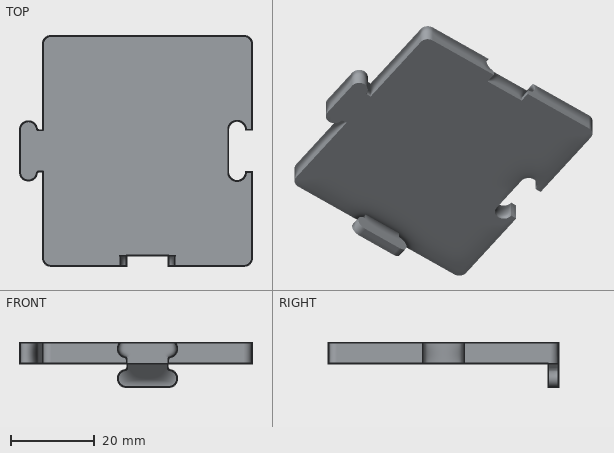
import cadquery as cq
import math

plate_width = 50.0
plate_length = 55.0
plate_thickness = 5.0
corner_radius = 2.0

lobe_spacing = 10.1
lip_depth = 2.5
blend_radius = 0.5

side_tab_reach = 5.5
side_tab_lobe = 2.05
side_tab_neck = 9.9

side_socket_depth = 5.7
side_socket_lobe = 2.1
side_socket_neck = 10.0

lower_tab_reach = 5.6
lower_lobe = 2.05
lower_tab_neck = 9.75
lower_socket_neck = 10.0


def connector(plane, reach, lobe_radius, neck_width, blend, depth):
    """Extrude a jigsaw key: local X runs along the edge, local Y along its reach."""
    lobe_x = lobe_spacing / 2
    lobe_y = reach - lobe_radius
    neck_x = neck_width / 2

    blend_x = neck_x + blend
    blend_y = lobe_y - math.sqrt((lobe_radius + blend) ** 2 - (blend_x - lobe_x) ** 2)
    touch_share = lobe_radius / (lobe_radius + blend)
    touch_x = lobe_x + (blend_x - lobe_x) * touch_share
    touch_y = lobe_y + (blend_y - lobe_y) * touch_share
    blend_angle = math.atan2(touch_y - blend_y, touch_x - blend_x)
    middle_angle = (math.pi + blend_angle) / 2
    middle_x = blend_x + blend * math.cos(middle_angle)
    middle_y = blend_y + blend * math.sin(middle_angle)

    outline = cq.Workplane(plane).moveTo(-neck_x, 0).lineTo(neck_x, 0).lineTo(neck_x, blend_y)
    if blend > 0:
        outline = outline.threePointArc((middle_x, middle_y), (touch_x, touch_y))
    outline = outline.threePointArc((lobe_x + lobe_radius, lobe_y), (lobe_x, reach))
    outline = outline.lineTo(-lobe_x, reach)
    outline = outline.threePointArc((-lobe_x - lobe_radius, lobe_y), (-touch_x, touch_y))
    if blend > 0:
        outline = outline.threePointArc((-middle_x, middle_y), (-neck_x, blend_y))
    return outline.close().extrude(depth)


plate = cq.Workplane("XY").box(plate_width, plate_length, plate_thickness, centered=(True, True, False))
plate = plate.edges("|Z").fillet(corner_radius)

left_edge = cq.Plane(origin=(-plate_width / 2, 0, 0), xDir=(0, 1, 0), normal=(0, 0, 1))
right_edge = cq.Plane(origin=(plate_width / 2, 0, 0), xDir=(0, 1, 0), normal=(0, 0, 1))
side_tab = connector(
    left_edge, side_tab_reach, side_tab_lobe, side_tab_neck, blend_radius, plate_thickness
)
side_socket = connector(
    right_edge, side_socket_depth, side_socket_lobe, side_socket_neck, 0, plate_thickness
)

back_edge = cq.Plane(origin=(0, plate_length / 2 - lip_depth, 0), xDir=(1, 0, 0), normal=(0, 1, 0))
lower_tab = connector(
    back_edge, lower_tab_reach, lower_lobe, lower_tab_neck, blend_radius, lip_depth
)

front_edge = cq.Plane(origin=(0, -plate_length / 2, 0), xDir=(-1, 0, 0), normal=(0, 1, 0))
lower_socket = connector(
    front_edge, lower_tab_reach, lower_lobe, lower_socket_neck, blend_radius, lip_depth
)

result = plate.union(side_tab).union(lower_tab).cut(side_socket).cut(lower_socket)